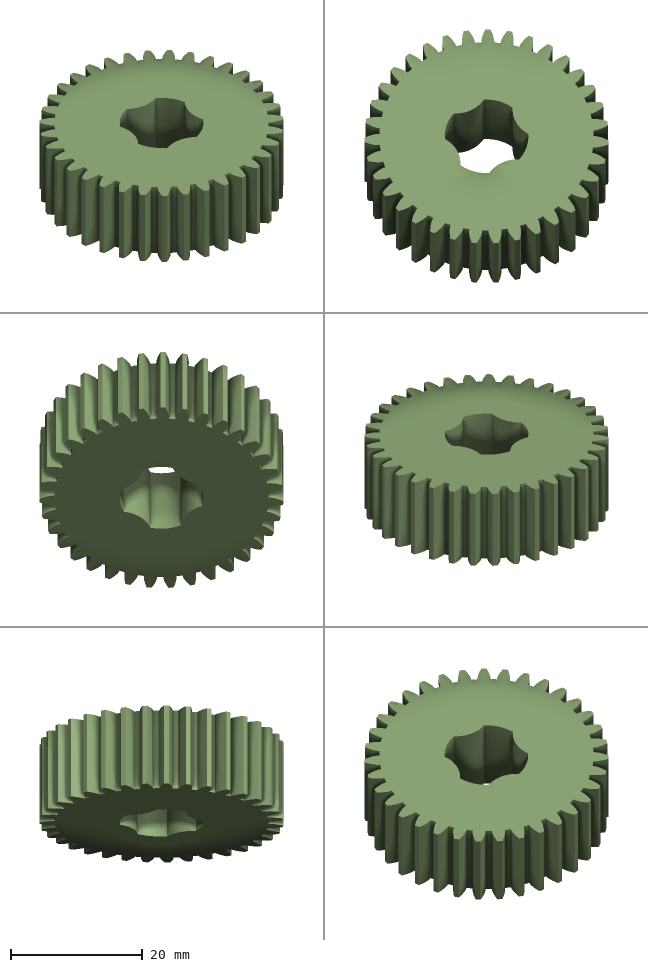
import cadquery as cq
import math

tooth_count = 35
module = 1.0
pressure_angle = math.radians(20)
addendum = module
dedendum = 1.25 * module
face_width = 12.5
flank_intervals = 6

bore_radius = 6.35
lobe_radius = 5.0
lobe_clearance = 5.1
lobe_count = 4

pitch_radius = module * tooth_count / 2
base_radius = pitch_radius * math.cos(pressure_angle)
tip_radius = pitch_radius + addendum
root_radius = pitch_radius - dedendum
tooth_pitch_angle = 2 * math.pi / tooth_count


def involute(angle):
    """Involute function of a pressure angle."""
    return math.tan(angle) - angle


def polar(radius, angle):
    """Cartesian coordinates of a point at a radius and angle about the gear axis."""
    return (radius * math.cos(angle), radius * math.sin(angle))


def half_tooth_angle(radius):
    """Half the angle a tooth spans at a radius; flanks are radial inside the base circle."""
    local_pressure_angle = math.acos(min(1.0, base_radius / radius))
    return tooth_pitch_angle / 4 + involute(pressure_angle) - involute(local_pressure_angle)


def flank_points(center_angle, side):
    """Points along one involute flank, from the base circle out to the tip circle."""
    tip_roll = math.sqrt((tip_radius / base_radius) ** 2 - 1)
    points = []
    for step in range(flank_intervals + 1):
        roll = tip_roll * step / flank_intervals
        radius = base_radius * math.sqrt(1 + roll ** 2)
        points.append(polar(radius, center_angle + side * half_tooth_angle(radius)))
    return points


def make_gear_blank():
    root_half_angle = half_tooth_angle(base_radius)
    outline = cq.Workplane("XY").moveTo(*polar(root_radius, -root_half_angle))
    for tooth in range(tooth_count):
        center_angle = tooth * tooth_pitch_angle
        rising = flank_points(center_angle, -1)
        falling = flank_points(center_angle, 1)[::-1]
        gap_middle = center_angle + tooth_pitch_angle / 2
        next_root = center_angle + tooth_pitch_angle - root_half_angle
        outline = (
            outline.lineTo(*rising[0])
            .spline(rising[1:], includeCurrent=True)
            .threePointArc(polar(tip_radius, center_angle), falling[0])
            .spline(falling[1:], includeCurrent=True)
            .lineTo(*polar(root_radius, center_angle + root_half_angle))
            .threePointArc(polar(root_radius, gap_middle), polar(root_radius, next_root))
        )
    return outline.close().extrude(face_width)


def make_bore():
    lobes = (
        cq.Workplane("XY")
        .polarArray(lobe_clearance + lobe_radius, 0, 360, lobe_count)
        .circle(lobe_radius)
        .extrude(face_width)
    )
    return cq.Workplane("XY").circle(bore_radius).extrude(face_width).cut(lobes)


result = make_gear_blank().cut(make_bore())